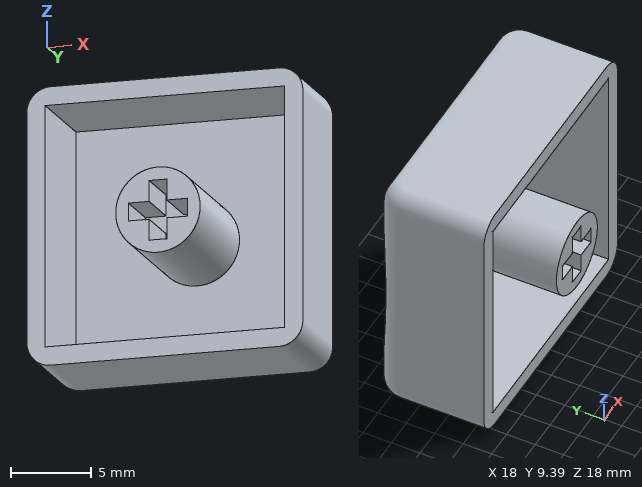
import cadquery as cq

cap_size = 18.0
cap_depth = 7.61
corner_radius = 1.55
crown_radius = 1.51
wall = 1.2
pocket_depth = 6.5

dish_depth = 0.54
dish_width = 12.96

stem_diameter = 5.5
stem_overhang = 1.78
stem_offset_x = 0.1
stem_offset_z = -0.04
cross_span = 3.85
cross_slot = 1.15
cross_depth = 3.6

pocket_size = cap_size - 2 * wall


def plane_facing_back(origin_x, origin_y, origin_z):
    """XZ plane whose extrusions run toward +Y."""
    return cq.Workplane(cq.Plane((origin_x, origin_y, origin_z), xDir=(1, 0, 0), normal=(0, 1, 0)))


def make_block():
    """Solid cap with rounded corners and a rounded crown edge."""
    block = plane_facing_back(0, 0, 0).rect(cap_size, cap_size).extrude(cap_depth)
    return block.edges("|Y").fillet(corner_radius).faces(">Y").edges().fillet(crown_radius)


def make_dish():
    """Circular-arc trough across the full width of the crowned face."""
    return (
        cq.Workplane("YZ")
        .moveTo(cap_depth, -dish_width / 2)
        .threePointArc((cap_depth - dish_depth, 0), (cap_depth, dish_width / 2))
        .close()
        .extrude(cap_size / 2, both=True)
    )


def make_pocket():
    """Square sharp-cornered cavity behind the open rim."""
    return plane_facing_back(0, 0, 0).rect(pocket_size, pocket_size).extrude(pocket_depth)


def make_stem():
    """Round stem from its tip to the pocket floor, with the cross socket cut into the tip."""
    stem_length = stem_overhang + pocket_depth
    tip = plane_facing_back(stem_offset_x, -stem_overhang, stem_offset_z)
    stem = tip.circle(stem_diameter / 2).extrude(stem_length)
    for width, height in [(cross_span, cross_slot), (cross_slot, cross_span)]:
        stem = stem.cut(tip.rect(width, height).extrude(cross_depth))
    return stem


result = make_block().cut(make_dish()).cut(make_pocket()).union(make_stem())